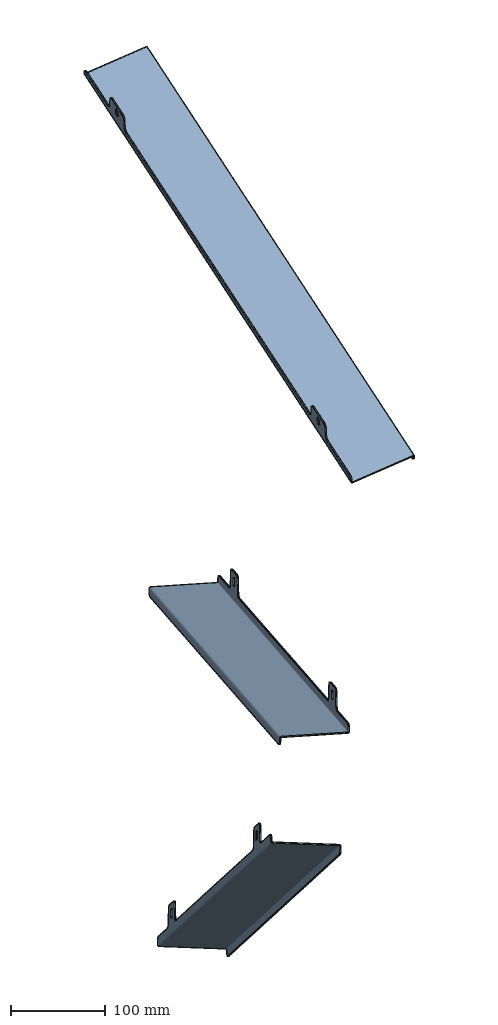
import cadquery as cq

length = 597.0
depth = 76.0
overall_height = 41.5
sheet = 1.5
inner_bend = 1.0
outer_bend = inner_bend + sheet

lip_drop = 10.0
shelf_bottom = lip_drop - sheet
flange_top = 18.5
flange_corner = 5.0
lip_corner = 5.0

tab_spacing = 450.0
tab_top_width = 30.5
tab_base_width = 33.5
tab_corner = 5.0
tab_root_fillet = 5.0

slot_width = 6.0
slot_height = 10.0
slot_below_top = 11.0

front = -depth / 2
back = depth / 2
tab_centres = [-tab_spacing / 2, tab_spacing / 2]


def make_bent_sheet():
    """Z-shaped section with rounded bends, extruded along X."""
    section = (
        cq.Workplane("YZ")
        .moveTo(front, overall_height)
        .lineTo(front, shelf_bottom + outer_bend)
        .radiusArc((front + outer_bend, shelf_bottom), -outer_bend)
        .lineTo(back - outer_bend, shelf_bottom)
        .radiusArc((back - sheet, shelf_bottom - inner_bend), inner_bend)
        .lineTo(back - sheet, 0)
        .lineTo(back, 0)
        .lineTo(back, lip_drop - outer_bend)
        .radiusArc((back - outer_bend, lip_drop), -outer_bend)
        .lineTo(front + outer_bend, lip_drop)
        .radiusArc((front + sheet, lip_drop + inner_bend), inner_bend)
        .lineTo(front + sheet, overall_height)
        .close()
    )
    return section.extrude(length / 2, both=True)


def extrude_through_depth(outline):
    """Extrude an XZ outline through the full depth of the part."""
    return outline.extrude(depth, both=True)


def make_tab(x):
    """Tapered tab with rounded top corners, centred at the given X."""
    outline = (
        cq.Workplane("XZ")
        .moveTo(x - tab_base_width / 2, flange_top)
        .lineTo(x - tab_top_width / 2, overall_height)
        .lineTo(x + tab_top_width / 2, overall_height)
        .lineTo(x + tab_base_width / 2, flange_top)
        .close()
    )
    return extrude_through_depth(outline).edges("|Y and >Z").fillet(tab_corner)


def make_silhouette():
    """Front outline of the part: a full-length band with two tabs on top."""
    band = cq.Workplane("XZ").center(0, flange_top / 2).rect(length, flange_top)
    silhouette = extrude_through_depth(band)
    silhouette = silhouette.edges("|Y and <Z").fillet(lip_corner)
    silhouette = silhouette.edges("|Y and >Z").fillet(flange_corner)
    for x in tab_centres:
        silhouette = silhouette.union(make_tab(x))
    for x in tab_centres:
        roots = cq.selectors.BoxSelector(
            (x - tab_base_width, -depth, flange_top - sheet),
            (x + tab_base_width, depth, flange_top + sheet),
        )
        silhouette = silhouette.edges("|Y").edges(roots).fillet(tab_root_fillet)
    return silhouette


def cut_slots(body):
    """Upright obround hanging slot through each tab."""
    slots = (
        cq.Workplane("XZ")
        .center(0, overall_height - slot_below_top)
        .pushPoints([(x, 0) for x in tab_centres])
        .slot2D(slot_height, slot_width, 90)
    )
    return body.cut(extrude_through_depth(slots))


result = cut_slots(make_bent_sheet().intersect(make_silhouette()))